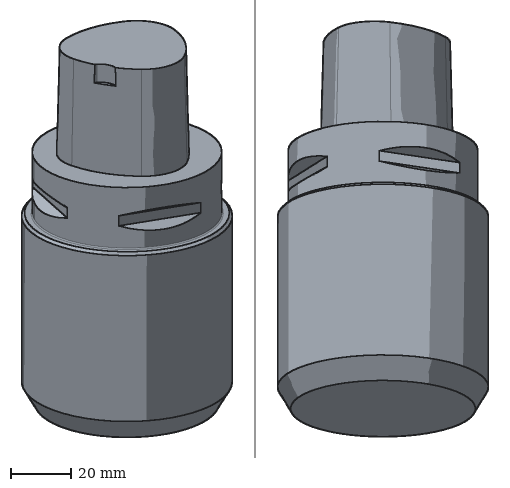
import cadquery as cq
import math

body_radius = 35.0
body_height = 68.0
nose_height = 7.5
nose_half_angle = math.radians(30.0)
shoulder_chamfer = 1.0

flange_radius = 31.5
flange_top = 90.0
root_fillet = 0.4

flat_count = 4
flat_distance = 27.8
flat_height = 3.6
flat_mid_height = 78.0
flank_angle = math.radians(30.0)

total_height = 128.0
lobe_reach = 23.45
side_reach = 20.5
lobe_center_distance = 8.5
lobe_count = 3
shank_slope = 1 / 40
first_side_angle = -90

notch_radius = 5.4
notch_floor_y = -17.9
notch_depth = 6.5


def polar_point(radius, angle_deg):
    angle = math.radians(angle_deg)
    return (radius * math.cos(angle), radius * math.sin(angle))


def make_body():
    """Revolved body with conical nose, chamfered shoulder and flange with a root fillet."""
    nose_radius = body_radius - nose_height * math.tan(nose_half_angle)
    cove_reach = root_fillet * (1 - math.sqrt(0.5))
    return (
        cq.Workplane("XZ")
        .moveTo(0, 0)
        .lineTo(nose_radius, 0)
        .lineTo(body_radius, nose_height)
        .lineTo(body_radius, body_height - shoulder_chamfer)
        .lineTo(body_radius - shoulder_chamfer, body_height)
        .lineTo(flange_radius + root_fillet, body_height)
        .threePointArc(
            (flange_radius + cove_reach, body_height + cove_reach),
            (flange_radius, body_height + root_fillet),
        )
        .lineTo(flange_radius, flange_top)
        .lineTo(0, flange_top)
        .close()
        .revolve(360, (0, 0, 0), (0, 1, 0))
    )


def make_shank():
    """Tapered shank bounded by tangent arcs: a tight one per lobe and a flat one per side."""
    lobe_spacing = 360 / lobe_count
    half_spacing = math.radians(lobe_spacing / 2)
    lobe_radius = lobe_reach - lobe_center_distance
    reach_gap = side_reach - lobe_radius
    lobe_along = lobe_center_distance * math.cos(half_spacing)
    side_center_distance = (lobe_center_distance**2 - reach_gap**2) / (2 * (reach_gap - lobe_along))
    side_radius = side_reach + side_center_distance

    along = side_center_distance + lobe_along
    across = lobe_center_distance * math.sin(half_spacing)
    normal_angle = math.atan2(across, along)
    tangent_along = side_radius * math.cos(normal_angle) - side_center_distance
    tangent_across = side_radius * math.sin(normal_angle)
    tangent_reach = math.hypot(tangent_along, tangent_across)
    tangent_offset = math.degrees(math.atan2(tangent_across, tangent_along))

    outline = cq.Workplane("XY", origin=(0, 0, flange_top)).moveTo(
        *polar_point(tangent_reach, first_side_angle - tangent_offset)
    )
    for index in range(lobe_count):
        side = first_side_angle + index * lobe_spacing
        lobe = side + lobe_spacing / 2
        next_side = side + lobe_spacing
        outline = outline.threePointArc(
            polar_point(side_reach, side),
            polar_point(tangent_reach, side + tangent_offset),
        ).threePointArc(
            polar_point(lobe_reach, lobe),
            polar_point(tangent_reach, next_side - tangent_offset),
        )
    shank_height = total_height - flange_top
    return outline.close().extrude(shank_height, taper=math.degrees(math.atan(shank_slope)))


def make_flat_cutter():
    """Trapezoidal bar on the +X side, widening outward from the flat."""
    outer = body_radius
    inner_half = flat_height / 2
    outer_half = inner_half + (outer - flat_distance) * math.tan(flank_angle)
    return (
        cq.Workplane("XZ")
        .moveTo(flat_distance, flat_mid_height - inner_half)
        .lineTo(outer, flat_mid_height - outer_half)
        .lineTo(outer, flat_mid_height + outer_half)
        .lineTo(flat_distance, flat_mid_height + inner_half)
        .close()
        .extrude(body_radius, both=True)
    )


def make_notch_cutter():
    """Upright cylinder that scallops the -Y side of the shank rim."""
    return (
        cq.Workplane("XY", origin=(0, 0, total_height - notch_depth))
        .center(0, notch_floor_y - notch_radius)
        .circle(notch_radius)
        .extrude(notch_depth)
    )


result = make_body().union(make_shank())
for index in range(flat_count):
    flat_angle = (index + 0.5) * 360 / flat_count
    result = result.cut(make_flat_cutter().rotate((0, 0, 0), (0, 0, 1), flat_angle))
result = result.cut(make_notch_cutter())